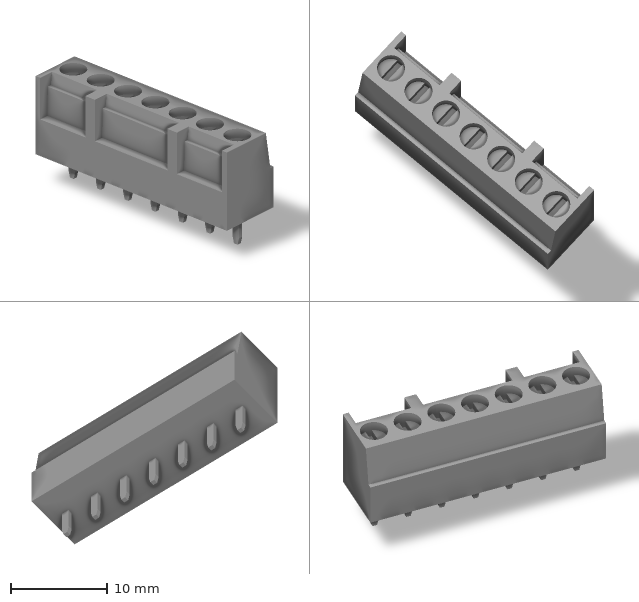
import cadquery as cq

ROW_LENGTH = 26.67
MODULE_POLES = (2, 3, 2)
PITCH = ROW_LENGTH / sum(MODULE_POLES)

DEPTH = 7.3
HEIGHT = 9.1
STEP_HEIGHT = 4.75
STEP_DEPTH = 0.5
TOP_SETBACK = 1.2

POCKET_INSET = 0.67
POCKET_FLOOR_Z = 4.27
LEDGE_Z = 7.63
POCKET_FLOOR_DEPTH = 1.12
LEDGE_FRONT_DEPTH = 1.2
LEDGE_BACK_DEPTH = 1.65
POCKET_TOP_DEPTH = 1.87

POLE_Y = 3.8
WELL_DIAMETER = 2.9
WELL_DEPTH = 1.1
SLOT_WIDTH = 0.72
SLOT_DEPTH = 0.8

PIN_LENGTH = 3.5
PIN_WIDTH = 0.9
PIN_TIP_WIDTH = 0.5
PIN_THICKNESS = 0.5
PIN_TAPER = 0.8


def extrude_along_x(points, x_start, x_end):
    """Prism with a (Y, Z) outline running from x_start to x_end."""
    return cq.Workplane("YZ", origin=(x_start, 0, 0)).polyline(points).close().extrude(x_end - x_start)


def housing_block(width):
    outline = [
        (0, 0),
        (DEPTH, 0),
        (DEPTH, STEP_HEIGHT),
        (DEPTH - STEP_DEPTH, STEP_HEIGHT),
        (DEPTH - TOP_SETBACK, HEIGHT),
        (0, HEIGHT),
    ]
    return extrude_along_x(outline, 0, width)


def front_pocket(width):
    outline = [
        (0, POCKET_FLOOR_Z),
        (POCKET_FLOOR_DEPTH, POCKET_FLOOR_Z),
        (LEDGE_FRONT_DEPTH, LEDGE_Z),
        (LEDGE_BACK_DEPTH, LEDGE_Z),
        (POCKET_TOP_DEPTH, HEIGHT),
        (0, HEIGHT),
    ]
    return extrude_along_x(outline, POCKET_INSET, width - POCKET_INSET)


def screw_recess(x):
    """Round well with a slot, running front to back, sunk into its floor."""
    floor_plane = cq.Workplane("XY", origin=(x, POLE_Y, HEIGHT - WELL_DEPTH))
    well = floor_plane.circle(WELL_DIAMETER / 2).extrude(WELL_DEPTH)
    screw_head = floor_plane.circle(WELL_DIAMETER / 2).extrude(-SLOT_DEPTH)
    slot_bar = floor_plane.rect(SLOT_WIDTH, WELL_DIAMETER).extrude(-SLOT_DEPTH)
    return well.union(screw_head.intersect(slot_bar))


def solder_pin(x):
    taper_start = PIN_TAPER - PIN_LENGTH
    outline = [
        (-PIN_WIDTH / 2, 0),
        (-PIN_WIDTH / 2, taper_start),
        (-PIN_TIP_WIDTH / 2, -PIN_LENGTH),
        (PIN_TIP_WIDTH / 2, -PIN_LENGTH),
        (PIN_WIDTH / 2, taper_start),
        (PIN_WIDTH / 2, 0),
    ]
    plane = cq.Workplane("XZ", origin=(x, POLE_Y, 0))
    return plane.polyline(outline).close().extrude(PIN_THICKNESS / 2, both=True)


def whole_module(poles):
    """Uncut module starting at X = 0, with its pins."""
    width = poles * PITCH
    module = housing_block(width).cut(front_pocket(width))
    for pole in range(poles):
        x = (pole + 0.5) * PITCH
        module = module.cut(screw_recess(x)).union(solder_pin(x))
    return module


def slice_between(module, x_start, x_end):
    """Part of a module lying between two planes across the row."""
    total_height = HEIGHT + PIN_LENGTH
    slab = (
        cq.Workplane("XY")
        .box(x_end - x_start, DEPTH, total_height, centered=False)
        .translate((x_start, 0, -PIN_LENGTH))
    )
    return module.intersect(slab)


def left_end(poles):
    return slice_between(whole_module(poles), 0, PITCH / 2)


def middle_section(poles):
    return slice_between(whole_module(poles), PITCH / 2, (poles - 0.5) * PITCH)


def right_end(poles):
    return slice_between(whole_module(poles), (poles - 0.5) * PITCH, poles * PITCH)


bodies = []
module_start = -ROW_LENGTH / 2
for pole_count in MODULE_POLES:
    for make_body in (left_end, middle_section, right_end):
        body = make_body(pole_count).translate((module_start, 0, 0))
        bodies.append(body.solids().val())
    module_start += pole_count * PITCH

result = cq.Compound.makeCompound(bodies)